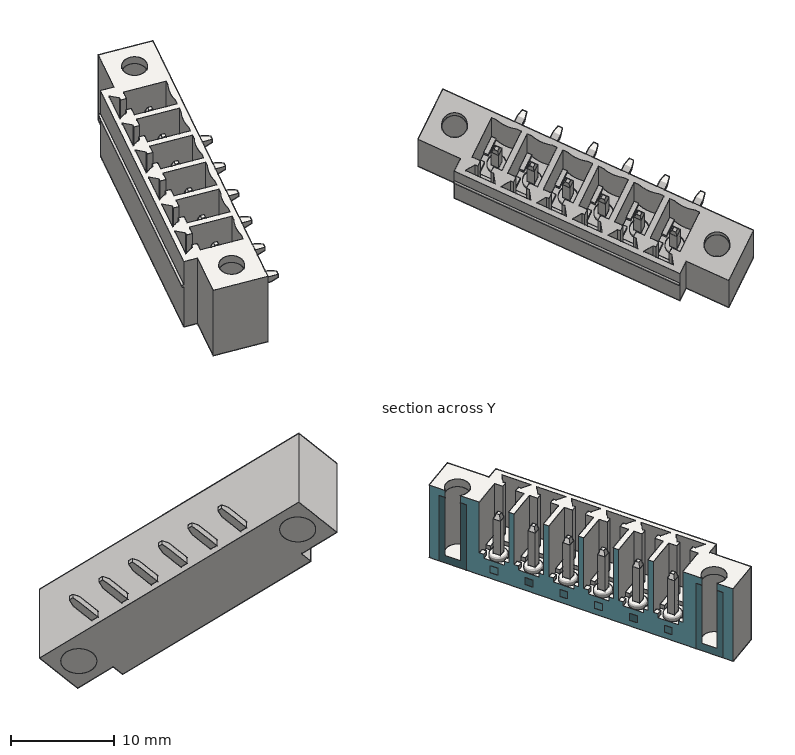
import cadquery as cq


length = 33.25
height = 9.2
block_length = 24.15
block_depth = 7.0
flange_depth = 5.62
back_y = block_depth
row_y = back_y - flange_depth / 2

rib_radius = 0.2
rib_z = height - 3.42

pin_count = 6
pin_row_length = 19.05
pin_pitch = pin_row_length / (pin_count - 1)
pin_positions = [i * pin_pitch - pin_row_length / 2 for i in range(pin_count)]

pin_width = 0.8
post_tip_width = 0.4
post_taper = 0.6
tail_tip_width = 0.45
tail_taper = 0.8
tail_z = 1.2
tail_reach = 3.5
pin_top_z = height - 1.45

chamber_width = 3.2
chamber_wall = 0.6
chamber_depth = 4.4
chamber_back_y = back_y - chamber_wall
chamber_front_y = chamber_back_y - chamber_depth
ledge_z = 2.83
floor_z = 2.33
ledge_width = 0.5
well_width = chamber_width - 2 * ledge_width
bulge_height = 0.15

neck_width = 1.4
neck_depth = 0.6
flare_start_width = 2.0
flare_depth = 0.9

collar_diameter = 1.9
collar_edge_radius = 0.23
collar_height = 0.5

hole_spacing = 28.05
hole_positions = [-hole_spacing / 2, hole_spacing / 2]
hole_diameter = 2.5
insert_diameter = 3.5
insert_top_z = height - 0.95
insert_floor = 1.0


def box_between(x_range, y_range, z_range):
    """Box given by its lower and upper limits along each axis."""
    (x0, x1), (y0, y1), (z0, z1) = x_range, y_range, z_range
    return cq.Workplane("XY").box(x1 - x0, y1 - y0, z1 - z0, centered=False).translate((x0, y0, z0))


def cylinder(x, y, diameter, z_bottom, z_top):
    """Vertical cylinder."""
    base = cq.Workplane("XY", origin=(x, y, z_bottom))
    return base.circle(diameter / 2).extrude(z_top - z_bottom)


def tapered_end(plane, tip_width, taper):
    """Square pin end that narrows along the plane normal."""
    return (
        cq.Workplane(plane)
        .rect(pin_width, pin_width)
        .workplane(offset=taper)
        .rect(tip_width, tip_width)
        .loft(ruled=True)
    )


def make_pin(x):
    """L-shaped square pin, tapered at both ends."""
    half = pin_width / 2
    x_range = (x - half, x + half)
    post_end_z = pin_top_z - post_taper
    tail_end_y = back_y + tail_reach - tail_taper
    post = box_between(x_range, (row_y - half, row_y + half), (tail_z - half, post_end_z))
    tail = box_between(x_range, (row_y - half, tail_end_y), (tail_z - half, tail_z + half))
    post_plane = cq.Plane((x, row_y, post_end_z), (1, 0, 0), (0, 0, 1))
    tail_plane = cq.Plane((x, tail_end_y, tail_z), (1, 0, 0), (0, 1, 0))
    post_tip = tapered_end(post_plane, post_tip_width, post_taper)
    tail_tip = tapered_end(tail_plane, tail_tip_width, tail_taper)
    return post.union(tail).union(post_tip).union(tail_tip)


def make_insert(x):
    """Cup-shaped flange insert whose bore continues the hole above it."""
    body = cylinder(x, row_y, insert_diameter, 0, insert_top_z)
    return body.cut(cylinder(x, row_y, hole_diameter, insert_floor, insert_top_z))


def chamber_cut(x):
    """Plug chamber and coding slot, down to the ledge."""
    half = chamber_width / 2
    neck_half = neck_width / 2
    flare_half = flare_start_width / 2
    neck_y = chamber_front_y - neck_depth
    flare_y = neck_y - flare_depth
    well_half = well_width / 2
    return (
        cq.Workplane("XY", origin=(x, 0, ledge_z))
        .moveTo(-half, chamber_front_y)
        .lineTo(-half, chamber_back_y)
        .lineTo(-well_half, chamber_back_y)
        .threePointArc((0, chamber_back_y - bulge_height), (well_half, chamber_back_y))
        .lineTo(half, chamber_back_y)
        .lineTo(half, chamber_front_y)
        .lineTo(neck_half, chamber_front_y)
        .lineTo(neck_half, neck_y)
        .lineTo(flare_half, neck_y)
        .lineTo(half, flare_y)
        .lineTo(-half, flare_y)
        .lineTo(-flare_half, neck_y)
        .lineTo(-neck_half, neck_y)
        .lineTo(-neck_half, chamber_front_y)
        .close()
        .extrude(height - ledge_z)
    )


def well_cut(x):
    """Sunken floor around the pin with a channel to each side wall."""
    well_half = well_width / 2
    well_front_y = chamber_front_y + ledge_width
    well = (
        cq.Workplane("XY", origin=(x, 0, floor_z))
        .moveTo(-well_half, well_front_y)
        .lineTo(-well_half, chamber_back_y)
        .threePointArc((0, chamber_back_y - bulge_height), (well_half, chamber_back_y))
        .lineTo(well_half, well_front_y)
        .close()
        .extrude(ledge_z - floor_z)
    )
    channel = (
        cq.Workplane("XY", origin=(x, row_y, floor_z))
        .rect(chamber_width, pin_width)
        .extrude(ledge_z - floor_z)
    )
    return well.union(channel)


def collar(x):
    """Round collar with a rounded top edge, standing on the well floor."""
    disc = cylinder(x, row_y, collar_diameter, floor_z, floor_z + collar_height)
    return disc.faces(">Z").edges().fillet(collar_edge_radius)


def make_housing(pins, inserts):
    """Flanged block with chambers, collars, rib and matching seats for pins and inserts."""
    z_range = (0, height)
    flanges = box_between((-length / 2, length / 2), (back_y - flange_depth, back_y), z_range)
    block = box_between((-block_length / 2, block_length / 2), (0, back_y), z_range)
    rib = (
        cq.Workplane("YZ", origin=(-block_length / 2, 0, rib_z))
        .circle(rib_radius)
        .extrude(block_length)
    )
    housing = flanges.union(block).union(rib)
    for x in pin_positions:
        housing = housing.cut(chamber_cut(x)).cut(well_cut(x)).union(collar(x))
    for x in hole_positions:
        housing = housing.cut(cylinder(x, row_y, hole_diameter, insert_floor, height))
    for body in pins + inserts:
        housing = housing.cut(body)
    return housing


pins = [make_pin(x) for x in pin_positions]
inserts = [make_insert(x) for x in hole_positions]
housing = make_housing(pins, inserts)

result = cq.Compound.makeCompound(
    [housing.val()]
    + [pin.val() for pin in pins]
    + [insert.val() for insert in inserts]
)